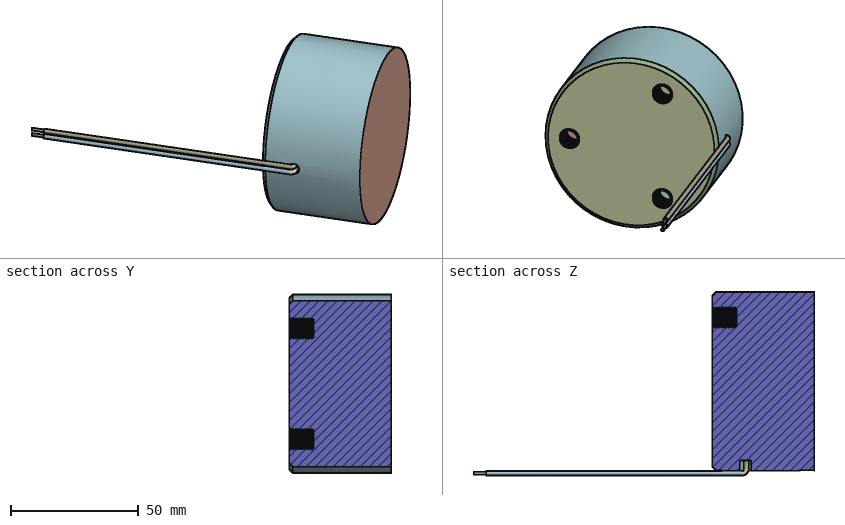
import cadquery as cq
import math

total_length = 133.3
total_width = 71.8

housing_dia = 70.0
housing_length = 40.0
housing_radius = housing_dia / 2
rim_chamfer = 1.5

mount_hole_count = 3
mount_circle_dia = 50.0
thread_major_dia = 8.0
thread_minor_dia = 6.8
thread_pitch = 1.2
thread_turns = 8
groove_width = 0.8
mount_hole_depth = thread_turns * thread_pitch

wire_dia = 1.9
wire_spacing = 2.4
conductor_dia = 1.2
conductor_length = 4.9
wire_axis_y = housing_radius + wire_dia / 2 - total_width
bend_start_x = 11.7
bend_radius = 1.6

cable_hole_dia = 4.4
cable_hole_depth = 4.0
cable_hole_x = 13.0
cable_hole_floor_y = cable_hole_depth - housing_radius

wire_end_x = bend_start_x + bend_radius
wire_tip_x = housing_length - total_length
insulation_start_x = wire_tip_x + conductor_length


def make_threaded_hole_cutter():
    """Bore along X whose half-profile carries one V groove per thread turn, starting at the mouth."""
    minor_radius = thread_minor_dia / 2
    major_radius = thread_major_dia / 2
    profile = cq.Workplane("XY").lineTo(0, minor_radius)
    for turn in range(thread_turns):
        groove_start = turn * thread_pitch
        profile = (
            profile.lineTo(groove_start + groove_width / 2, major_radius)
            .lineTo(groove_start + groove_width, minor_radius)
            .lineTo(groove_start + thread_pitch, minor_radius)
        )
    return profile.lineTo(mount_hole_depth, 0).close().revolve(360, (0, 0, 0), (1, 0, 0))


def make_cable_hole_cutter():
    """Blind radial hole, long enough to run clear out of the -Y side of the housing."""
    return (
        cq.Workplane("XZ", origin=(cable_hole_x, cable_hole_floor_y, 0))
        .circle(cable_hole_dia / 2)
        .extrude(2 * cable_hole_depth)
    )


def make_housing():
    """Chamfered cylinder with the ring of threaded holes and the cable hole."""
    body = (
        cq.Workplane("YZ")
        .circle(housing_radius)
        .extrude(housing_length)
        .faces("<X")
        .chamfer(rim_chamfer)
    )
    mount_hole = make_threaded_hole_cutter().translate((0, mount_circle_dia / 2, 0))
    for index in range(mount_hole_count):
        angle = index * 360 / mount_hole_count
        body = body.cut(mount_hole.rotate((0, 0, 0), (1, 0, 0), angle))
    return body.cut(make_cable_hole_cutter())


def make_wire(axis_z):
    """Insulated wire that runs along X, bends through 90 degrees and ends in the cable hole."""
    bend_mid_x = bend_start_x + bend_radius * math.sin(math.pi / 4)
    bend_mid_y = wire_axis_y + bend_radius * (1 - math.cos(math.pi / 4))
    path = (
        cq.Workplane("XY", origin=(0, 0, axis_z))
        .moveTo(insulation_start_x, wire_axis_y)
        .lineTo(bend_start_x, wire_axis_y)
        .threePointArc((bend_mid_x, bend_mid_y), (wire_end_x, wire_axis_y + bend_radius))
        .lineTo(wire_end_x, cable_hole_floor_y)
    )
    insulation = (
        cq.Workplane("YZ", origin=(insulation_start_x, wire_axis_y, axis_z))
        .circle(wire_dia / 2)
        .sweep(path)
    )
    conductor = (
        cq.Workplane("YZ", origin=(wire_tip_x, wire_axis_y, axis_z))
        .circle(conductor_dia / 2)
        .extrude(conductor_length)
    )
    return insulation.union(conductor)


housing = make_housing()
wires = [make_wire(side * wire_spacing / 2) for side in (-1, 1)]

result = cq.Compound.makeCompound([housing.solids().val(), *[wire.solids().val() for wire in wires]])